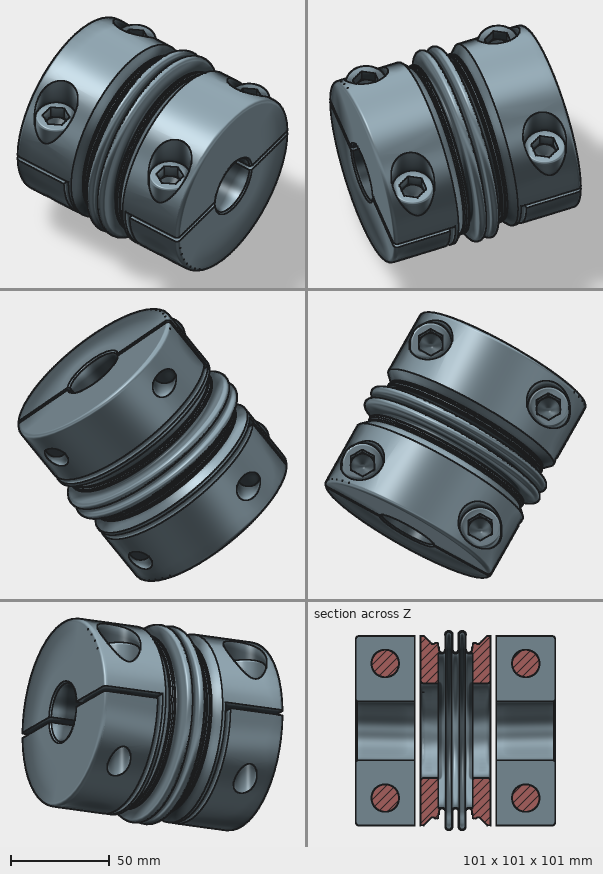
import cadquery as cq
import math


total_length = 101.01
end_x = total_length / 2
hub_radius = 96 / 2
end_fillet = 2.0
bore_radius = 30 / 2
bore_chamfer = 0.9
neck_radius = 43.9
taper_start_x = 16.0
taper_end_x = taper_start_x - (hub_radius - neck_radius)

collar_cone_x = 11.0
collar_outer_x = 10.2
collar_step_x = 9.1
collar_inner_x = 8.7
collar_radius = 89 / 2
collar_lip_radius = 88.6 / 2

bellows_radius = 101.0 / 2
bellows_root_radius = 39.5
bead_pitch = 6.7
bead_round = 2.0
root_round = bead_pitch / 2 - bead_round
bead_centre_radius = bellows_radius - bead_round
root_centre_radius = bellows_root_radius + root_round
sheet = 0.5
end_flange_radius = 42.2
end_root_round = 1.6

cavity_radius = 23.85
mouth_fillet = 1.65

slit_width = 2.8
clamp_length = 30.0
cross_slit_outer_x = end_x - clamp_length
cross_slit_inner_x = cross_slit_outer_x - slit_width

screw_end_distance = 15.0
screw_x = end_x - screw_end_distance
screw_y = 34.0
shank_radius = 14 / 2
clearance_radius = 15 / 2
thread_core_radius = 11.84 / 2
head_radius = 21 / 2
counterbore_radius = 22 / 2
head_height = 14.0
head_fillet = 1.4
head_top_z = 27.0
head_seat_z = head_top_z - head_height
shank_end_z = -20.0
hex_across_flats = 12.0
hex_circumradius = hex_across_flats / math.sqrt(3)
socket_depth = 7.0
socket_drill_radius = 6.1
socket_drill_angle = 120
socket_tip_depth = socket_drill_radius / math.tan(math.radians(socket_drill_angle / 2))


def arc_middle(radius):
    """Offset of a 45 degree point on a rounding, along each axis from its centre."""
    return radius * math.sqrt(0.5)


def add_wave(profile, direction, inset):
    """Trace the bellows wave, inset below its outer surface, from one end root to the other."""
    bead = bead_round - inset
    root = root_round + inset
    root_bottom = bellows_root_radius - inset
    first_root_x = -direction * bead_pitch
    profile = profile.threePointArc(
        (first_root_x + direction * arc_middle(root), root_centre_radius - arc_middle(root)),
        (first_root_x + direction * root, root_centre_radius),
    )
    for bead_x in (-direction * bead_pitch / 2, direction * bead_pitch / 2):
        profile = (
            profile.lineTo(bead_x - direction * bead, bead_centre_radius)
            .threePointArc(
                (bead_x, bead_centre_radius + bead), (bead_x + direction * bead, bead_centre_radius)
            )
            .lineTo(bead_x + direction * bead, root_centre_radius)
        )
        if bead_x * direction < 0:
            profile = profile.threePointArc((0, root_bottom), (direction * root, root_centre_radius))
    last_root_x = direction * bead_pitch
    return profile.threePointArc(
        (last_root_x - direction * arc_middle(root), root_centre_radius - arc_middle(root)),
        (last_root_x, root_bottom),
    )


def bellows():
    """Thin two-bead bellows, ending at the bottom of its outer roots."""
    profile = cq.Workplane("XY").moveTo(-bead_pitch, bellows_root_radius)
    profile = add_wave(profile, 1, 0)
    profile = profile.lineTo(bead_pitch, bellows_root_radius - sheet)
    profile = add_wave(profile, -1, sheet).close()
    return profile.revolve(360, (0, 0, 0), (1, 0, 0))


def hub_body():
    """Revolved +X hub with its weld collar and bellows end flange, before slits and holes."""
    fillet_inset = end_fillet - arc_middle(end_fillet)
    end_root_centre = bellows_root_radius + end_root_round
    mouth_centre_radius = cavity_radius + mouth_fillet
    mouth_centre_x = cross_slit_inner_x - mouth_fillet

    profile = (
        cq.Workplane("XY")
        .moveTo(bead_pitch, bellows_root_radius)
        .threePointArc(
            (bead_pitch + arc_middle(end_root_round), end_root_centre - arc_middle(end_root_round)),
            (bead_pitch + end_root_round, end_root_centre),
        )
        .lineTo(bead_pitch + end_root_round, end_flange_radius)
        .lineTo(collar_inner_x, end_flange_radius)
        .lineTo(collar_inner_x, collar_lip_radius)
        .lineTo(collar_step_x, collar_lip_radius)
        .lineTo(collar_step_x, collar_radius)
        .lineTo(collar_outer_x, collar_radius)
        .lineTo(collar_cone_x, neck_radius)
        .lineTo(taper_end_x, neck_radius)
        .lineTo(taper_start_x, hub_radius)
        .lineTo(end_x - end_fillet, hub_radius)
        .threePointArc(
            (end_x - fillet_inset, hub_radius - fillet_inset),
            (end_x, hub_radius - end_fillet),
        )
        .lineTo(end_x, bore_radius + bore_chamfer)
        .lineTo(end_x - bore_chamfer, bore_radius)
        .lineTo(cross_slit_inner_x, bore_radius)
        .lineTo(cross_slit_inner_x, mouth_centre_radius)
        .threePointArc(
            (
                mouth_centre_x + arc_middle(mouth_fillet),
                mouth_centre_radius - arc_middle(mouth_fillet),
            ),
            (mouth_centre_x, cavity_radius),
        )
        .lineTo(collar_inner_x, cavity_radius)
        .lineTo(collar_inner_x, bellows_root_radius - sheet)
        .lineTo(bead_pitch, bellows_root_radius - sheet)
        .close()
    )
    return profile.revolve(360, (0, 0, 0), (1, 0, 0))


def box_between(x_min, x_max, z_min, z_max):
    """Box spanning the full hub width in Y."""
    return cq.Workplane("XY").box(
        x_max - x_min, 2 * hub_radius, z_max - z_min, centered=(False, True, False)
    ).translate((x_min, 0, z_min))


def clamp_slits():
    """Horizontal slit along the clamp and the cross slit below it."""
    half_slit = slit_width / 2
    along = box_between(cross_slit_inner_x, end_x, -half_slit, half_slit)
    across = box_between(cross_slit_inner_x, cross_slit_outer_x, -hub_radius, half_slit)
    return along.union(across)


def cylinder(radius, y, z_min, z_max):
    """Vertical cylinder on a screw axis."""
    return (
        cq.Workplane("XY", origin=(screw_x, y, z_min)).circle(radius).extrude(z_max - z_min)
    )


def screw_holes(y):
    """Counterbore and clearance hole in the upper half, thread core hole in the lower half."""
    counterbore = cylinder(counterbore_radius, y, head_seat_z, hub_radius)
    clearance = cylinder(clearance_radius, y, 0, head_seat_z)
    core = cylinder(thread_core_radius, y, -hub_radius, 0)
    return counterbore.union(clearance).union(core)


def hex_socket(y):
    """Hexagonal socket, corners along Y, with a conical drill point at its bottom."""
    hexagon = (
        cq.Workplane("XY")
        .transformed(rotate=(0, 0, 90))
        .polygon(6, 2 * hex_circumradius)
        .extrude(-socket_depth)
    )
    drill_point = (
        cq.Workplane("XZ")
        .polyline(
            [
                (0, -socket_depth),
                (socket_drill_radius, -socket_depth),
                (0, -socket_depth - socket_tip_depth),
            ]
        )
        .close()
        .revolve(360, (0, 0, 0), (0, 1, 0))
    )
    return hexagon.union(drill_point).translate((screw_x, y, head_top_z))


def screw(y):
    """Socket head cap screw whose shank fills the thread of the lower half."""
    head = cylinder(head_radius, y, head_seat_z, head_top_z).faces(">Z").edges().fillet(head_fillet)
    shank = cylinder(shank_radius, y, shank_end_z, head_seat_z)
    return head.union(shank).cut(hex_socket(y))


def clamping_hub():
    """The +X hub with its slits, holes and screws."""
    hub = hub_body().cut(clamp_slits())
    for y in (-screw_y, screw_y):
        hub = hub.cut(screw_holes(y)).union(screw(y))
    return hub


hub = clamping_hub()
result = bellows().union(hub, clean=False).union(hub.mirror("YZ"), clean=False)